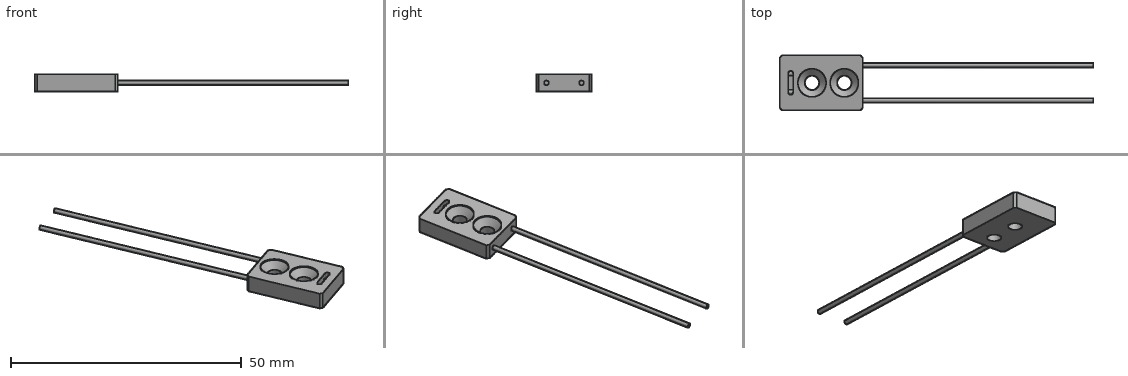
import cadquery as cq

overall_length = 68.0
block_length = 18.0
block_width = 12.0
block_height = 3.8
corner_chamfer = 0.55

hole_spacing = 7.0
hole_offset = 7.0
hole_diameter = 3.05
sink_diameter = 6.1
sink_land = 0.3

slot_offset = 2.4
slot_length = 5.2
slot_width = 1.0
slot_depth = block_height / 2

lead_diameter = 1.0
lead_spacing = 7.6
lead_length = overall_length - block_length
lead_height = block_height / 2

pin_diameter = 1.0
pin_spacing = 4.1
pin_length = 1.35
pin_height = block_height / 2


def countersunk_hole(x):
    """Cutter: through bore, cone and a short cylindrical land at the top."""
    bore_radius = hole_diameter / 2
    sink_radius = sink_diameter / 2
    cone_top = block_height - sink_land
    cone_bottom = cone_top - (sink_radius - bore_radius)
    profile = [
        (0, 0),
        (bore_radius, 0),
        (bore_radius, cone_bottom),
        (sink_radius, cone_top),
        (sink_radius, block_height),
        (0, block_height),
    ]
    cutter = cq.Workplane("XZ").polyline(profile).close().revolve(360, (0, 0), (0, 1))
    return cutter.translate((x, 0, 0))


def make_block():
    block = cq.Workplane("XY").box(block_length, block_width, block_height, centered=(False, True, False))
    block = block.edges("|Z").chamfer(corner_chamfer)
    for x in (hole_offset, hole_offset + hole_spacing):
        block = block.cut(countersunk_hole(x))
    slot = (
        cq.Workplane("XY", origin=(slot_offset, 0, block_height))
        .slot2D(slot_length, slot_width, 90)
        .extrude(-slot_depth)
    )
    block = block.cut(slot)
    for y in pin_positions:
        block = block.cut(make_pin(y))
    return block


def make_pin(y):
    start = (slot_offset - pin_length / 2, y, pin_height)
    return cq.Workplane("YZ", origin=start).circle(pin_diameter / 2).extrude(pin_length)


def make_lead(y):
    start = (block_length, y, lead_height)
    return cq.Workplane("YZ", origin=start).circle(lead_diameter / 2).extrude(lead_length)


pin_positions = [side * pin_spacing / 2 for side in (-1, 1)]
block = make_block()
pins = [make_pin(y) for y in pin_positions]
leads = [make_lead(side * lead_spacing / 2) for side in (-1, 1)]

result = cq.Compound.makeCompound([block.val(), *[body.val() for body in pins + leads]])